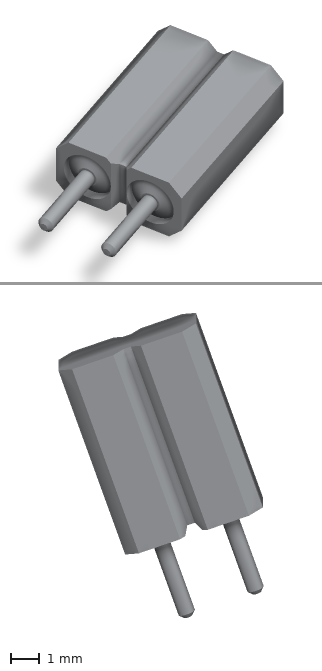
import cadquery as cq

PITCH = 2.54
CELL_COUNT = 2
HOUSING_LENGTH = 7.0
OVERALL_LENGTH = 10.0
CORNER_CHAMFER = 0.51

WEB_HALF_WIDTH = 0.14
NOTCH_DEPTH = 0.3

BORE_RADIUS = 0.95
SLEEVE_SETBACK = 0.35
NOSE_LENGTH = 0.35
NOSE_TIP_RADIUS = 0.38

PIN_RADIUS = 0.3
PIN_TIP_RADIUS = 0.15
PIN_TIP_LENGTH = 0.15

HALF_HEIGHT = PITCH / 2
HALF_WIDTH = CELL_COUNT * PITCH / 2
PIN_END_Y = HOUSING_LENGTH - OVERALL_LENGTH
SLEEVE_FRONT_Y = SLEEVE_SETBACK
NOSE_FRONT_Y = SLEEVE_FRONT_Y - NOSE_LENGTH
CELL_CENTERS = [(i - (CELL_COUNT - 1) / 2) * PITCH for i in range(CELL_COUNT)]
CELL_BOUNDARIES = [(x + PITCH / 2) for x in CELL_CENTERS[:-1]]


def make_groove(x, side):
    """V groove with a flat floor, on the top (side=1) or bottom (side=-1)."""
    floor_z = HALF_HEIGHT - (CORNER_CHAMFER - WEB_HALF_WIDTH)
    outline = [
        (x - CORNER_CHAMFER, side * HALF_HEIGHT),
        (x - WEB_HALF_WIDTH, side * floor_z),
        (x + WEB_HALF_WIDTH, side * floor_z),
        (x + CORNER_CHAMFER, side * HALF_HEIGHT),
    ]
    return cq.Workplane("XZ").polyline(outline).close().extrude(-HOUSING_LENGTH)


def make_notch(x):
    """Tapered notch in the front end of a web, ending level with the bore sides."""
    mouth_half_width = PITCH / 2 - BORE_RADIUS
    outline = [
        (x - mouth_half_width, 0),
        (x - WEB_HALF_WIDTH, NOTCH_DEPTH),
        (x + WEB_HALF_WIDTH, NOTCH_DEPTH),
        (x + mouth_half_width, 0),
    ]
    return cq.Workplane("XY").polyline(outline).close().extrude(HALF_HEIGHT, both=True)


def make_housing():
    housing = (
        cq.Workplane("XZ")
        .rect(2 * HALF_WIDTH, 2 * HALF_HEIGHT)
        .extrude(-HOUSING_LENGTH)
        .edges("|Y")
        .chamfer(CORNER_CHAMFER)
    )
    for x in CELL_BOUNDARIES:
        housing = housing.cut(make_groove(x, 1)).cut(make_groove(x, -1)).cut(make_notch(x))
    for x in CELL_CENTERS:
        bore = cq.Workplane("XZ").center(x, 0).circle(BORE_RADIUS).extrude(-HOUSING_LENGTH)
        housing = housing.cut(bore)
    return housing


def revolve_about_y(profile, x):
    """Turn an (r, y) profile about the Y axis and place it at the given X."""
    body = cq.Workplane("XY").polyline(profile).close().revolve(360, (0, 0), (0, 1))
    return body.translate((x, 0, 0))


def make_sleeve(x):
    """Sleeve filling the bore, with a tapered nose and a through hole for the pin."""
    profile = [
        (PIN_RADIUS, NOSE_FRONT_Y),
        (NOSE_TIP_RADIUS, NOSE_FRONT_Y),
        (BORE_RADIUS, SLEEVE_FRONT_Y),
        (BORE_RADIUS, HOUSING_LENGTH),
        (PIN_RADIUS, HOUSING_LENGTH),
    ]
    return revolve_about_y(profile, x)


def make_pin(x):
    """Straight round pin with a tapered tip, flush with the back of the sleeve."""
    profile = [
        (0, PIN_END_Y),
        (PIN_TIP_RADIUS, PIN_END_Y),
        (PIN_RADIUS, PIN_END_Y + PIN_TIP_LENGTH),
        (PIN_RADIUS, HOUSING_LENGTH),
        (0, HOUSING_LENGTH),
    ]
    return revolve_about_y(profile, x)


housing = make_housing()
sleeves = [make_sleeve(x) for x in CELL_CENTERS]
pins = [make_pin(x) for x in CELL_CENTERS]

result = cq.Compound.makeCompound([
    housing.val(),
    *[sleeve.val() for sleeve in sleeves],
    *[pin.val() for pin in pins],
])